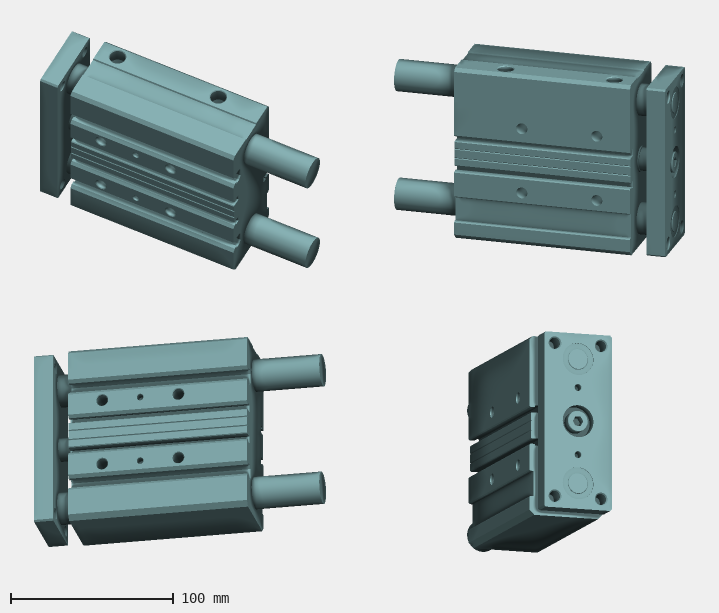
import cadquery as cq
import math


plate_thickness = 12.0
plate_width = 44.0
plate_height = 110.0
plate_edge_chamfer = 1.0
plate_screw_y = 15.0
plate_screw_z = 48.0
plate_screw_diameter = 6.9
screw_hole_chamfer = 0.7

housing_start = 22.0
housing_length = 112.5
housing_end = housing_start + housing_length
housing_width = 48.0
housing_height = 112.0
half_width = housing_width / 2
half_height = housing_height / 2
upper_edge_chamfer = 2.1
lower_edge_chamfer = 3.2
top_groove_width = 14.5
top_groove_depth = 0.9
top_groove_slope_width = 0.5

band_half_height = 8.1
band_setback = 0.9
band_edge_chamfer = 0.5
band_groove_z = 3.0
band_groove_width = 0.9
band_groove_depth = 0.5

sensor_slot_top = 11.5
sensor_mouth_depth = 3.7
sensor_slot_depth = 6.9
sensor_undercut_top = 12.5
front_slot_chamfer = 1.8
back_slot_chamfer = 0.7

t_slot_z = 31.5
t_mouth_half_width = 3.0
t_mouth_chamfer = 2.0
t_lip_depth = 4.5
t_slot_depth = 10.0
t_cavity_half_width = 5.0
t_cavity_bevel = 2.0

back_channel_top = -28.5
back_channel_height = 15.8
back_channel_depth = 2.7

mount_hole_x = 43.2
mount_hole_spacing = 48.0
mount_hole_diameter = 7.0
mount_hole_chamfer = 0.45
dowel_z = 21.0
dowel_diameter = 4.0
dowel_depth = 6.0
dowel_chamfer = 0.27
drill_point_angle = 118

port_x_positions = (34.5, 104.0)
port_y = 15.2
port_diameter = 10.0
port_depth = 8.8
port_chamfer = 0.5
port_passage_diameter = 3.5
port_passage_depth = 7.0
port_cone_depth = (port_diameter - port_passage_diameter) / 2

guide_rod_z = 39.0
guide_rod_diameter = 20.0
guide_rod_end = 177.0
guide_shoulder_depth = 0.45

piston_rod_diameter = 14.5
piston_rod_insertion = 35.4
piston_rod_end = housing_start + piston_rod_insertion
piston_shoulder_depth = 7.0
socket_across_flats = 5.8
socket_depth = 6.2
collar_diameter = 16.3
collar_length = 0.9

stub_diameter = 13.1
stub_chamfer = 0.4


def cylinder_x(diameter, start, end, y=0, z=0):
    """Cylinder along X between two X positions."""
    return cq.Workplane("YZ", origin=(start, y, z)).circle(diameter / 2).extrude(end - start)


def hole_cutter(origin, direction, diameter, depth, chamfer):
    """Cutter for a hole from a face at origin, with a chamfered rim."""
    rim_radius = diameter / 2 + chamfer
    start = cq.Vector(*origin)
    axis = cq.Vector(*direction)
    bore = cq.Solid.makeCylinder(diameter / 2, depth, start, axis)
    rim = cq.Solid.makeCone(rim_radius, diameter / 2, chamfer, start, axis)
    return cq.Workplane(bore).union(cq.Workplane(rim))


def dowel_cutter(origin, direction):
    """Cutter for a blind dowel hole with a drill-point bottom."""
    axis = cq.Vector(*direction)
    radius = dowel_diameter / 2
    point_depth = radius / math.tan(math.radians(drill_point_angle / 2))
    point = cq.Solid.makeCone(radius, 0, point_depth, cq.Vector(*origin) + axis * dowel_depth, axis)
    bore = hole_cutter(origin, direction, dowel_diameter, dowel_depth, dowel_chamfer)
    return bore.union(cq.Workplane(point))


def along_housing(points):
    """Prism over the length of the housing from a closed (y, z) outline."""
    return cq.Workplane("YZ", origin=(housing_start, 0, 0)).polyline(points).close().extrude(housing_length)


def housing_block():
    """Main extrusion with chamfered long edges."""
    block = cq.Workplane("XY").box(housing_length, housing_width, housing_height)
    block = block.edges("|X and >Z").chamfer(upper_edge_chamfer)
    block = block.edges("|X and <Z").chamfer(lower_edge_chamfer)
    return block.translate((housing_start + housing_length / 2, 0, 0))


def top_groove():
    """Shallow groove with sloping sides along the middle of the top."""
    half = top_groove_width / 2
    floor_half = half - top_groove_slope_width
    floor = half_height - top_groove_depth
    return along_housing([(-floor_half, floor), (floor_half, floor), (half, half_height), (-half, half_height)])


def t_slot(center_z):
    """T-slot in the front, with a chamfered mouth and a bevelled back."""
    front = -half_width
    half_outline = [
        (front, t_mouth_half_width + t_mouth_chamfer),
        (front + t_mouth_chamfer, t_mouth_half_width),
        (front + t_lip_depth, t_mouth_half_width),
        (front + t_lip_depth, t_cavity_half_width),
        (front + t_slot_depth - t_cavity_bevel, t_cavity_half_width),
        (front + t_slot_depth, t_cavity_half_width - t_cavity_bevel),
    ]
    upper = [(y, center_z + z) for y, z in half_outline]
    lower = [(y, center_z - z) for y, z in reversed(half_outline)]
    return along_housing(upper + lower)


def sensor_slot(side, end, chamfer):
    """Sensor slot; side is -1 at the front or 1 at the back, end is 1 above the band or -1 below."""
    outline = [
        (half_width, band_half_height - band_edge_chamfer),
        (half_width - band_setback, band_half_height - band_edge_chamfer),
        (half_width - band_setback - band_edge_chamfer, band_half_height),
        (half_width - sensor_slot_depth, band_half_height),
        (half_width - sensor_slot_depth, sensor_undercut_top),
        (half_width - sensor_mouth_depth, sensor_undercut_top),
        (half_width - sensor_mouth_depth, sensor_slot_top),
        (half_width - chamfer, sensor_slot_top),
        (half_width, sensor_slot_top + chamfer),
    ]
    return along_housing([(side * y, end * z) for y, z in outline])


def band_relief(side):
    """Layer that sets the band back from the outer face."""
    face = side * half_width
    floor = side * (half_width - band_setback)
    return along_housing(
        [
            (face, band_half_height),
            (floor, band_half_height),
            (floor, -band_half_height),
            (face, -band_half_height),
        ]
    )


def band_groove(side, center_z):
    """V-groove along the band."""
    surface = half_width - band_setback
    half = band_groove_width / 2
    return along_housing(
        [
            (side * surface, center_z + half),
            (side * (surface - band_groove_depth), center_z),
            (side * surface, center_z - half),
        ]
    )


def back_channel():
    """Wide channel low on the back."""
    floor = half_width - back_channel_depth
    bottom = back_channel_top - back_channel_height
    return along_housing(
        [
            (half_width, back_channel_top + back_slot_chamfer),
            (half_width - back_slot_chamfer, back_channel_top),
            (floor, back_channel_top),
            (floor, bottom),
            (half_width - back_slot_chamfer, bottom),
            (half_width, bottom - back_slot_chamfer),
        ]
    )


def port(x):
    """Air port in the top: a bore with a conical bottom and a narrow passage below it."""
    down = cq.Vector(0, 0, -1)
    cone_start = cq.Vector(x, port_y, half_height - port_depth)
    passage_start = cone_start + down * port_cone_depth
    bore = hole_cutter((x, port_y, half_height), (0, 0, -1), port_diameter, port_depth, port_chamfer)
    cone = cq.Solid.makeCone(port_diameter / 2, port_passage_diameter / 2, port_cone_depth, cone_start, down)
    passage = cq.Solid.makeCylinder(port_passage_diameter / 2, port_passage_depth, passage_start, down)
    return bore.union(cq.Workplane(cone)).union(cq.Workplane(passage))


def make_housing():
    body = housing_block().cut(top_groove()).cut(back_channel())
    for side, chamfer in ((-1, front_slot_chamfer), (1, back_slot_chamfer)):
        body = body.cut(band_relief(side))
        for end in (-1, 1):
            body = body.cut(sensor_slot(side, end, chamfer))
            body = body.cut(band_groove(side, end * band_groove_z))
    for end in (-1, 1):
        body = body.cut(t_slot(end * t_slot_z))

    for z in (-dowel_z, dowel_z):
        for x in (mount_hole_x, mount_hole_x + mount_hole_spacing):
            front = (x, -half_width, z)
            body = body.cut(
                hole_cutter(front, (0, 1, 0), mount_hole_diameter, housing_width, mount_hole_chamfer)
            )
        dowel_front = (mount_hole_x + mount_hole_spacing / 2, -half_width, z)
        body = body.cut(dowel_cutter(dowel_front, (0, 1, 0)))

    for x in port_x_positions:
        body = body.cut(port(x))

    body = body.union(cylinder_x(collar_diameter, housing_start - collar_length, housing_start))
    body = body.cut(cylinder_x(piston_rod_diameter, housing_start - collar_length, piston_rod_end))
    for z in (-guide_rod_z, guide_rod_z):
        body = body.cut(cylinder_x(guide_rod_diameter, housing_start, housing_end, z=z))
    return body


def make_plate():
    body = cq.Workplane("XY").box(plate_thickness, plate_width, plate_height)
    body = body.edges("|X").chamfer(plate_edge_chamfer)
    body = body.translate((plate_thickness / 2, 0, 0))
    for z in (-plate_screw_z, plate_screw_z):
        for y in (-plate_screw_y, plate_screw_y):
            body = body.cut(
                hole_cutter((0, y, z), (1, 0, 0), plate_screw_diameter, plate_thickness, screw_hole_chamfer)
            )
    for z in (-dowel_z, dowel_z):
        body = body.cut(dowel_cutter((0, 0, z), (1, 0, 0)))
    for z in (-guide_rod_z, guide_rod_z):
        body = body.cut(cylinder_x(guide_rod_diameter, 0, plate_thickness, z=z))

    body = body.cut(cylinder_x(guide_rod_diameter, 0, piston_shoulder_depth))
    return body.cut(cylinder_x(stub_diameter, 0, plate_thickness))


def make_stub(end, z=0):
    """Turned-down rod end from the plate face to a given X, with a chamfered tip."""
    return cylinder_x(stub_diameter, 0, end, z=z).faces("<X").chamfer(stub_chamfer)


def make_guide_rod(z):
    rod = cylinder_x(guide_rod_diameter, guide_shoulder_depth, guide_rod_end, z=z)
    return rod.union(make_stub(guide_shoulder_depth, z))


def make_piston_rod():
    rod = cylinder_x(piston_rod_diameter, plate_thickness, piston_rod_end)
    socket_across_corners = socket_across_flats / math.cos(math.pi / 6)
    socket = cq.Workplane("YZ").polygon(6, socket_across_corners).extrude(socket_depth)
    return rod.union(make_stub(plate_thickness)).cut(socket)


housing = make_housing()
plate = make_plate()
guide_rods = [make_guide_rod(z) for z in (-guide_rod_z, guide_rod_z)]
piston_rod = make_piston_rod()

result = cq.Compound.makeCompound(
    [housing.val(), plate.val(), piston_rod.val(), *[rod.val() for rod in guide_rods]]
)